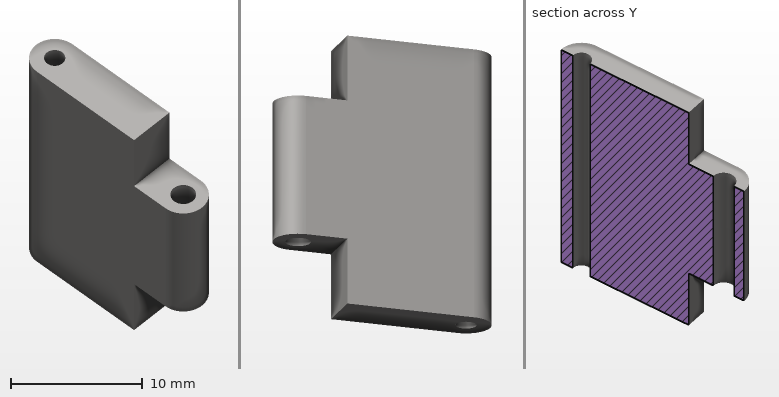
import cadquery as cq

thickness = 3.9
length = 17.37
height = 21.49
shoulder_step = 5.2
tongue_length = 5.25
body_hole_diameter = 1.62
tongue_hole_diameter = 1.95

end_radius = thickness / 2
axis_spacing = length - thickness
body_end_x = axis_spacing + end_radius - tongue_length
tongue_height = height - 2 * shoulder_step


def rounded_plate():
    """Full-height plate with a half-round edge around each hinge axis."""
    return (
        cq.Workplane("XY")
        .center(axis_spacing / 2, 0)
        .slot2D(length, thickness)
        .extrude(height / 2, both=True)
    )


def shoulder_cutter(side):
    """Block that clears the space above (side=1) or below (side=-1) the tongue."""
    center_z = side * (tongue_height + shoulder_step) / 2
    return (
        cq.Workplane("XY")
        .box(tongue_length, thickness, shoulder_step)
        .translate((body_end_x + tongue_length / 2, 0, center_z))
    )


def hinge_hole(axis_x, diameter):
    """Cylinder for a pin hole running the whole height of the part."""
    return (
        cq.Workplane("XY")
        .center(axis_x, 0)
        .circle(diameter / 2)
        .extrude(height / 2, both=True)
    )


result = rounded_plate()
for side in (-1, 1):
    result = result.cut(shoulder_cutter(side))
result = result.cut(hinge_hole(0, body_hole_diameter))
result = result.cut(hinge_hole(axis_spacing, tongue_hole_diameter))